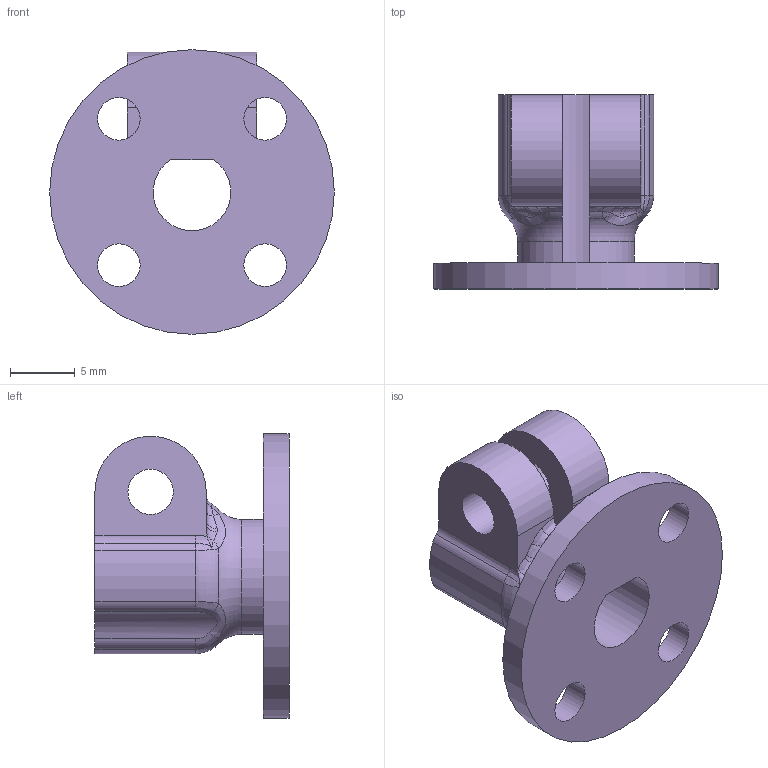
import cadquery as cq
import math

flange_radius = 11.0
flange_thickness = 2.0
length = 15.0

screw_circle_radius = 8.0
screw_hole_diameter = 3.3
groove_radius = 3.0
groove_edge_radius = 1.25

neck_radius = 4.5
body_radius = 6.0
shoulder_start = 3.65
shoulder_arc_radius = 2.5

bore_diameter = 6.0
bore_flat_height = 2.5

lug_width = 10.0
lug_radius = 4.3
lug_hole_diameter = 3.5
lug_hole_height = 6.5
lug_blend_radius = 0.85
slot_width = 2.1

tolerance = 1e-3

lug_center_y = length - lug_radius
lug_front_y = length - 2 * lug_radius


def cylinder_along_y(x, z, radius, start, end):
    """Solid cylinder parallel to Y, centred on (x, z)."""
    return cq.Workplane(cq.Solid.makeCylinder(
        radius, end - start, cq.Vector(x, start, z), cq.Vector(0, 1, 0)))


def screw_positions():
    """(x, z) of the four screw axes, on the diagonals."""
    offset = screw_circle_radius / math.sqrt(2)
    return [(sx * offset, sz * offset) for sx in (-1, 1) for sz in (-1, 1)]


def make_body():
    """Neck and body turned about Y, with an S-shaped shoulder between them."""
    step = body_radius - neck_radius
    turn = math.acos(1 - step / (2 * shoulder_arc_radius))
    half_turn = turn / 2
    run = shoulder_arc_radius * math.sin(turn)
    arc_mid_run = shoulder_arc_radius * math.sin(half_turn)
    arc_mid_rise = shoulder_arc_radius * (1 - math.cos(half_turn))
    shoulder_end = shoulder_start + 2 * run
    profile = (
        cq.Workplane("XY")
        .moveTo(0, flange_thickness)
        .lineTo(neck_radius, flange_thickness)
        .lineTo(neck_radius, shoulder_start)
        .threePointArc((neck_radius + arc_mid_rise, shoulder_start + arc_mid_run),
                       (neck_radius + step / 2, shoulder_start + run))
        .threePointArc((body_radius - arc_mid_rise, shoulder_end - arc_mid_run),
                       (body_radius, shoulder_end))
        .lineTo(body_radius, length)
        .lineTo(0, length)
        .close()
    )
    return profile.revolve(360, (0, 0, 0), (0, 1, 0))


def is_groove_edge(edge):
    """True for edges where a groove wall meets the turned surface."""
    middle = edge.positionAt(0.5)
    on_wall = any(
        abs(math.hypot(middle.x - x, middle.z - z) - groove_radius) < tolerance
        for x, z in screw_positions())
    return on_wall and middle.y < length - tolerance


def cut_grooves(body):
    """Cut the screw-head grooves and round their rims."""
    for x, z in screw_positions():
        body = body.cut(cylinder_along_y(x, z, groove_radius, flange_thickness, length))
    rims = [edge for edge in body.edges().vals() if is_groove_edge(edge)]
    return body.newObject(rims).fillet(groove_edge_radius)


def make_lug():
    """Lug with a round top, rising from the body axis."""
    return (
        cq.Workplane("YZ")
        .moveTo(lug_front_y, 0)
        .lineTo(length, 0)
        .lineTo(length, lug_hole_height)
        .threePointArc((lug_center_y, lug_hole_height + lug_radius),
                       (lug_front_y, lug_hole_height))
        .close()
        .extrude(lug_width / 2, both=True)
    )


def is_lug_seam(edge):
    """True for edges where the sides or front of the lug meet the body."""
    if edge.geomType() == "LINE":
        return False
    points = [edge.positionAt(t) for t in (0.1, 0.5, 0.9)]
    on_side = all(abs(abs(p.x) - lug_width / 2) < tolerance for p in points)
    on_front = all(abs(p.y - lug_front_y) < tolerance for p in points)
    below_round_top = all(p.z < lug_hole_height for p in points)
    return (on_side or on_front) and below_round_top


def add_lug(body):
    """Join the lug to the body and fillet the seam between them."""
    joined = body.union(make_lug())
    seam = [edge for edge in joined.edges().vals() if is_lug_seam(edge)]
    return joined.newObject(seam).fillet(lug_blend_radius)


def add_flange(part):
    """Add the flange disc and drill its screw holes."""
    part = part.union(cylinder_along_y(0, 0, flange_radius, 0, flange_thickness))
    for x, z in screw_positions():
        part = part.cut(cylinder_along_y(x, z, screw_hole_diameter / 2, 0, flange_thickness))
    return part


def cut_bore(part):
    """Cut the D-shaped bore, with its flat facing +Z, along the whole part."""
    radius = bore_diameter / 2
    flat_limit = (
        cq.Workplane("XY", origin=(0, 0, -radius))
        .box(bore_diameter, length, radius + bore_flat_height, centered=(True, False, False))
    )
    bore = cylinder_along_y(0, 0, radius, 0, length).intersect(flat_limit)
    return part.cut(bore)


def cut_slot(part):
    """Cut the clamping slot from the bore up through the lug, behind the flange."""
    depth = length - flange_thickness
    slot = (
        cq.Workplane("XY", origin=(0, flange_thickness, 0))
        .box(slot_width, depth, lug_hole_height + lug_radius, centered=(True, False, False))
    )
    return part.cut(slot)


def drill_lug(part):
    """Drill the cross hole through the lug."""
    hole = (
        cq.Workplane("YZ")
        .center(lug_center_y, lug_hole_height)
        .circle(lug_hole_diameter / 2)
        .extrude(lug_width, both=True)
    )
    return part.cut(hole)


body = cut_grooves(make_body())
part = add_flange(add_lug(body))
result = drill_lug(cut_slot(cut_bore(part)))